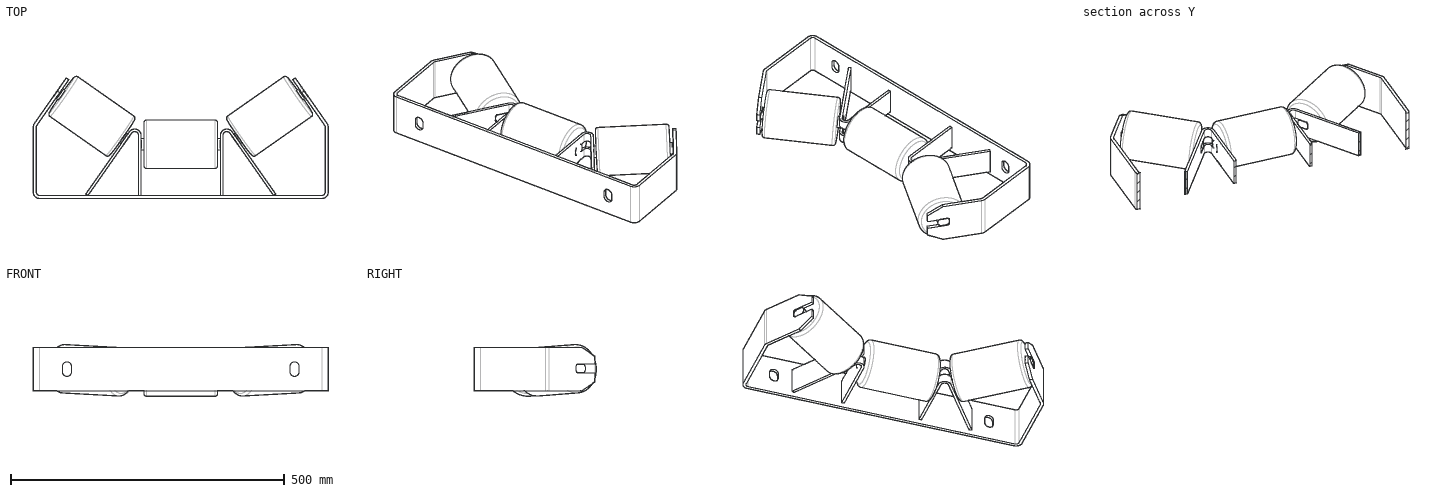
import cadquery as cq
import math

FRAME_SHEET = 6.0
BRACKET_SHEET = 5.0
BEND_RADIUS = 12.0

FRAME_LENGTH = 540.0
FRAME_HEIGHT = 80.0
SIDE_BEND_START = 130.5
WING_TIP_Y = 221.0
TIP_CHAMFER_LENGTH = 29.0
TIP_CHAMFER_HEIGHT = 16.0
TROUGH_ANGLE = 35.0

MOUNT_SPACING = 416.5
MOUNT_WIDTH = 17.0
MOUNT_LENGTH = 26.5

DRUM_LENGTH = 135.0
DRUM_DIAMETER = 89.0
DRUM_FILLET = 5.0
AXLE_DIAMETER = 21.5
SHOULDER_LENGTH = 143.0
OUTER_FLATS = 15.0

BRACKET_GAP = 144.5
BRACKET_HEIGHT = 50.0
BRACKET_Z = -5.5
ARCH_START = 115.5
AXLE_DROP = 16.0
WELD_DEPTH = 0.5

SLOT_HEIGHT = 16.0
SLOT_CORNER = 4.5
SLOT_CLEARANCE = 0.25
OUTER_AXLE_Z = 1.0

turn = math.radians(TROUGH_ANGLE)
axis_x, axis_y = math.cos(turn), math.sin(turn)
rise_x, rise_y = -math.sin(turn), math.cos(turn)
side_x = FRAME_LENGTH / 2
knee_y = SIDE_BEND_START + BEND_RADIUS * math.tan(turn / 2)
tip_x = side_x + (WING_TIP_Y - knee_y) / rise_y * rise_x
leg_x = BRACKET_GAP / 2
leg_axle_y = ARCH_START - AXLE_DROP
arch_x = leg_x + BEND_RADIUS
slant_axle_x = arch_x + BEND_RADIUS * axis_x - AXLE_DROP * rise_x
slant_axle_y = ARCH_START + BEND_RADIUS * axis_y - AXLE_DROP * rise_y
wing_axle_x = slant_axle_x + BRACKET_GAP * axis_x
wing_axle_y = slant_axle_y + BRACKET_GAP * axis_y
roller_tilt = math.degrees(math.asin((OUTER_AXLE_Z - BRACKET_Z) / BRACKET_GAP))


def inside_corners(corners, thickness):
    """Points one thickness to the left of a path of outside corners."""
    normals = []
    for (x0, y0), (x1, y1) in zip(corners, corners[1:]):
        length = math.hypot(x1 - x0, y1 - y0)
        normals.append(((y0 - y1) / length, (x1 - x0) / length))
    inside = []
    for (x, y), before, after in zip(corners, normals[:1] + normals, normals + normals[-1:]):
        scale = thickness / (1 + before[0] * after[0] + before[1] * after[1])
        inside.append((x + scale * (before[0] + after[0]), y + scale * (before[1] + after[1])))
    return inside


def bent_sheet(corners, thickness, height, mid_z):
    """An upright strip of sheet with rounded bends; its outside follows the corners."""
    inside = inside_corners(corners, thickness)
    strip = cq.Workplane("XY", origin=(0, 0, mid_z - height / 2))
    strip = strip.polyline(corners + inside[::-1]).close().extrude(height)
    for bends, radius in ((corners[1:-1], BEND_RADIUS), (inside[1:-1], BEND_RADIUS - thickness)):
        for x, y in bends:
            bend = cq.selectors.NearestToPointSelector((x, y, mid_z))
            strip = strip.edges("|Z").edges(bend).fillet(radius)
    return strip


def axle_slot(x, y, z, angle, length):
    """Cutter for a slot that holds an axle at (x, y, z) and runs `length` beyond it."""
    seat = AXLE_DIAMETER / 2 + SLOT_CLEARANCE
    slot = cq.Workplane("XY").box(2 * BEND_RADIUS, seat + length, SLOT_HEIGHT)
    slot = slot.edges("|X and <Y").fillet(SLOT_CORNER)
    slot = slot.translate((0, (length - seat) / 2, 0))
    return slot.rotate((0, 0, 0), (0, 0, 1), angle).translate((x, y, z))


def both_sides(half):
    """A +X feature together with its mirror image."""
    return half.union(half.mirror("YZ"))


def make_wing_cut():
    """Axle slot, open at the wing tip, and the two chamfers of the tip."""
    slot_length = (WING_TIP_Y - wing_axle_y) / rise_y + FRAME_SHEET
    cut = axle_slot(wing_axle_x, wing_axle_y, OUTER_AXLE_Z, TROUGH_ANGLE, slot_length)
    wing_tip = (tip_x, WING_TIP_Y, 0)
    wing_face = cq.Plane(origin=wing_tip, xDir=(rise_x, rise_y, 0), normal=(axis_x, axis_y, 0))
    edge = FRAME_HEIGHT / 2
    for level in (edge, -edge):
        inner_level = level - math.copysign(TIP_CHAMFER_HEIGHT, level)
        outline = [(-TIP_CHAMFER_LENGTH, level), (0, level), (0, inner_level)]
        corner = cq.Workplane(wing_face).polyline(outline).close()
        cut = cut.union(corner.extrude(FRAME_SHEET, both=True))
    return cut


def make_outer_frame():
    """Bent frame with mounting slots in the base plate and an axle slot in each wing."""
    right = [(side_x, 0), (side_x, knee_y), (tip_x, WING_TIP_Y)]
    left = [(-x, y) for x, y in reversed(right)]
    frame = bent_sheet(left + right, FRAME_SHEET, FRAME_HEIGHT, 0)
    mounts = cq.Workplane("XZ").pushPoints([(-MOUNT_SPACING / 2, 0), (MOUNT_SPACING / 2, 0)])
    mounts = mounts.slot2D(MOUNT_LENGTH, MOUNT_WIDTH, 90).extrude(-FRAME_SHEET)
    return frame.cut(mounts).cut(both_sides(make_wing_cut()))


def make_bracket():
    """The +X bracket: an upright leg, an arch and a slanting leg, slotted from axle to axle."""
    foot_y = FRAME_SHEET - WELD_DEPTH
    apex_y = ARCH_START + BEND_RADIUS * math.tan((math.pi - turn) / 2)
    outside_foot_y = foot_y + BRACKET_SHEET * axis_y
    foot_x = leg_x - (apex_y - outside_foot_y) / rise_y * rise_x
    corners = [(foot_x, outside_foot_y), (leg_x, apex_y), (leg_x, foot_y)]
    bracket = bent_sheet(corners, BRACKET_SHEET, BRACKET_HEIGHT, BRACKET_Z)
    slot_length = AXLE_DROP + 2 * BEND_RADIUS
    bracket = bracket.cut(axle_slot(leg_x, leg_axle_y, BRACKET_Z, 0, slot_length))
    return bracket.cut(axle_slot(slant_axle_x, slant_axle_y, BRACKET_Z, TROUGH_ANGLE, slot_length))


def round_bar(diameter, length):
    """A bar along X, centred on the origin."""
    return cq.Workplane("YZ", origin=(-length / 2, 0, 0)).circle(diameter / 2).extrude(length)


def make_roller(flats_height):
    """A drum on an axle along X whose ends are flattened to the given height."""
    drum = round_bar(DRUM_DIAMETER, DRUM_LENGTH).faces("<X or >X").edges().fillet(DRUM_FILLET)
    axle_length = BRACKET_GAP + 2 * BRACKET_SHEET
    ends = cq.Workplane("XY").box(axle_length, AXLE_DIAMETER, flats_height)
    ends = ends.intersect(round_bar(AXLE_DIAMETER, axle_length))
    return drum.union(round_bar(AXLE_DIAMETER, SHOULDER_LENGTH)).union(ends)


def make_roller_frame():
    """Outer frame, both brackets and the middle roller, whose axle fills its slots, as one body."""
    middle = make_roller(SLOT_HEIGHT).translate((0, leg_axle_y, BRACKET_Z))
    return make_outer_frame().union(both_sides(make_bracket())).union(middle)


def make_outer_roller(side):
    """Outer roller on the side +1 (+X) or -1 (-X), raised towards its wing."""
    roller = make_roller(OUTER_FLATS)
    roller = roller.rotate((0, 0, 0), (0, 1, 0), -side * roller_tilt)
    roller = roller.rotate((0, 0, 0), (0, 0, 1), side * TROUGH_ANGLE)
    mid_x = (slant_axle_x + wing_axle_x) / 2
    mid_y = (slant_axle_y + wing_axle_y) / 2
    return roller.translate((side * mid_x, mid_y, (BRACKET_Z + OUTER_AXLE_Z) / 2))


roller_frame = make_roller_frame()
outer_rollers = [make_outer_roller(side) for side in (-1, 1)]

result = cq.Compound.makeCompound([roller_frame.val(), *[roller.val() for roller in outer_rollers]])